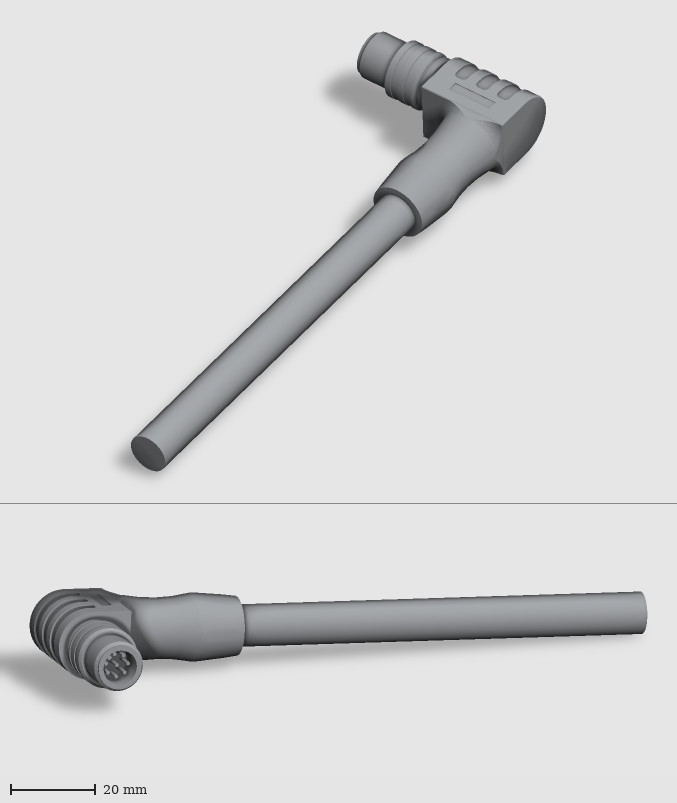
import cadquery as cq
import math

TOTAL_LENGTH = 45.4
CABLE_TILT = 2.5
OVERLAP = 0.5

HEAD_START = 22.0
HEAD_WIDTH = TOTAL_LENGTH - HEAD_START
HEAD_MIDDLE = HEAD_START + HEAD_WIDTH / 2
HEAD_RADIUS = 8.25
HEAD_FRONT = 9.3
HEAD_EDGE_RADIUS = 0.4

GRIP_COUNT = 3
GRIP_PITCH = 6.1
GRIP_WIDTH = 3.4
GRIP_DEPTH = 0.5
GRIP_REACH = 2.0
GRIP_CORNER_RADIUS = 1.2

LABEL_LENGTH = 11.7
LABEL_WIDTH = 2.6
LABEL_DEPTH = 0.2
LABEL_CENTER = 5.1

BOOT_RADIUS = 8.1
BOOT_SIDE_CLEARANCE = 0.05
BOOT_X = TOTAL_LENGTH - BOOT_RADIUS - BOOT_SIDE_CLEARANCE
WAIST_RADIUS = 7.25
BOOT_END_RADIUS = 7.05
FLARE_RADIUS = 3.0
FLARE_INSET = 0.1
FLARE_END = HEAD_FRONT + FLARE_RADIUS
COLLAR_START = 28.8
COLLAR_END = 30.1
BOOT_END = 40.2
TAPER_BULGE = 0.1

CABLE_RADIUS = 5.0
CABLE_LENGTH = 100.0

TIP_RADIUS = 5.3
TIP_LENGTH = 0.6
SLEEVE_RADIUS = 6.0
SLEEVE_START = 1.3
NUT_RADIUS = 7.3
NUT_START = 8.95
NUT_END = 18.0
NUT_CHAMFER = 0.6
NUT_GROOVE_STARTS = (11.25, 14.85)
NUT_GROOVE_WIDTH = 1.8
NUT_GROOVE_DEPTH = 0.2
NECK_RADIUS = 4.7
GAP_RADIUS = 6.6
RIM_START = 18.9
RIM_END = 20.4
RIM_RADIUS = 6.9
RIM_CHAMFER = 0.4
NECK_CONE_RADIUS = 5.6
NECK_CONE_END = 21.1

CAVITY_RADIUS = 4.1
CAVITY_DEPTH = 8.0
KEY_ANGLE = 135.0
KEY_WIDTH = 1.0
KEY_HEIGHT = 1.1
KEY_SETBACK = 0.5
PIN_RADIUS = 0.45
PIN_CIRCLE_RADIUS = 2.75
PIN_PITCH_ANGLE = 49.0
PIN_PAIRS = 3
PIN_SETBACK = 2.5


def cylinder_x(radius, start, end):
    return cq.Workplane("YZ", origin=(start, 0, 0)).circle(radius).extrude(end - start)


def plug_shell():
    profile = [
        (0, 0),
        (0, TIP_RADIUS),
        (TIP_LENGTH, TIP_RADIUS),
        (SLEEVE_START, SLEEVE_RADIUS),
        (NUT_START, SLEEVE_RADIUS),
        (NUT_START, NUT_RADIUS - NUT_CHAMFER),
        (NUT_START + NUT_CHAMFER, NUT_RADIUS),
        (NUT_END - NUT_CHAMFER, NUT_RADIUS),
        (NUT_END, NUT_RADIUS - NUT_CHAMFER),
        (NUT_END, GAP_RADIUS),
        (RIM_START, GAP_RADIUS),
        (RIM_START, RIM_RADIUS),
        (RIM_END - RIM_CHAMFER, RIM_RADIUS),
        (RIM_END, RIM_RADIUS - RIM_CHAMFER),
        (RIM_END, NECK_CONE_RADIUS),
        (NECK_CONE_END, NECK_RADIUS),
        (HEAD_START + OVERLAP, NECK_RADIUS),
        (HEAD_START + OVERLAP, 0),
    ]
    body = cq.Workplane("XY").polyline(profile).close().revolve(360, (0, 0, 0), (1, 0, 0))
    for start in NUT_GROOVE_STARTS:
        end = start + NUT_GROOVE_WIDTH
        core = cylinder_x(NUT_RADIUS - NUT_GROOVE_DEPTH, start, end)
        body = body.cut(cylinder_x(NUT_RADIUS + OVERLAP, start, end).cut(core))
    return body.cut(cylinder_x(CAVITY_RADIUS, 0, CAVITY_DEPTH))


def contact_pin(y, z):
    pin_length = CAVITY_DEPTH + OVERLAP - PIN_SETBACK
    return cq.Workplane("YZ", origin=(PIN_SETBACK, y, z)).circle(PIN_RADIUS).extrude(pin_length)


def contact_pins():
    pins = contact_pin(0, 0)
    for step in range(-PIN_PAIRS, PIN_PAIRS + 1):
        angle = math.radians(KEY_ANGLE + 180 + step * PIN_PITCH_ANGLE)
        y = -PIN_CIRCLE_RADIUS * math.cos(angle)
        z = PIN_CIRCLE_RADIUS * math.sin(angle)
        pins = pins.add(contact_pin(y, z))
    return pins.combine()


def coding_key():
    length = CAVITY_DEPTH + OVERLAP - KEY_SETBACK
    height = KEY_HEIGHT + OVERLAP
    middle = CAVITY_RADIUS - KEY_HEIGHT + height / 2
    key = cq.Workplane("XY").box(length, height, KEY_WIDTH)
    key = key.translate((KEY_SETBACK + length / 2, -middle, 0))
    return key.rotate((0, 0, 0), (1, 0, 0), -KEY_ANGLE)


def head_prism(radius, front, start, width):
    """D-shaped bar along X: flat faces towards -Y and a half-round back around the plug axis."""
    return (
        cq.Workplane("YZ", origin=(start, 0, 0))
        .moveTo(-front, -radius)
        .lineTo(0, -radius)
        .threePointArc((radius, 0), (0, radius))
        .lineTo(-front, radius)
        .close()
        .extrude(width)
    )


def grip_groove(center_x):
    """Shallow band around the head back whose ends have rounded corners."""
    length = GRIP_REACH + 2 * HEAD_RADIUS
    outline = (
        cq.Workplane("XY")
        .box(GRIP_WIDTH, length, 4 * HEAD_RADIUS)
        .edges("|Z")
        .fillet(GRIP_CORNER_RADIUS)
        .translate((center_x, length / 2 - GRIP_REACH, 0))
    )
    core = head_prism(HEAD_RADIUS - GRIP_DEPTH, HEAD_FRONT, HEAD_START, HEAD_WIDTH)
    return outline.cut(core)


def head():
    body = head_prism(HEAD_RADIUS, HEAD_FRONT, HEAD_START, HEAD_WIDTH)
    body = body.faces(">X or <Y").edges("not <X").fillet(HEAD_EDGE_RADIUS)
    for index in range(GRIP_COUNT):
        offset = (index - (GRIP_COUNT - 1) / 2) * GRIP_PITCH
        body = body.cut(grip_groove(HEAD_MIDDLE + offset))
    label = cq.Workplane("XY").box(LABEL_LENGTH, LABEL_WIDTH, 2 * LABEL_DEPTH)
    return body.cut(label.translate((HEAD_MIDDLE, -LABEL_CENTER, HEAD_RADIUS)))


def boot():
    base_radius = BOOT_RADIUS + FLARE_RADIUS
    waist_station = (FLARE_END + COLLAR_START) / 2
    flare_mid = FLARE_RADIUS * (1 - math.cos(math.radians(45)))
    taper_mid = ((BOOT_RADIUS + BOOT_END_RADIUS) / 2 + TAPER_BULGE, -(COLLAR_END + BOOT_END) / 2)
    base_station = HEAD_FRONT - OVERLAP
    body = (
        cq.Workplane("XY")
        .moveTo(0, -base_station)
        .lineTo(base_radius, -base_station)
        .lineTo(base_radius, -HEAD_FRONT)
        .threePointArc((BOOT_RADIUS + flare_mid, -HEAD_FRONT - flare_mid), (BOOT_RADIUS, -FLARE_END))
        .threePointArc((WAIST_RADIUS, -waist_station), (BOOT_RADIUS, -COLLAR_START))
        .lineTo(BOOT_RADIUS, -COLLAR_END)
        .threePointArc(taper_mid, (BOOT_END_RADIUS, -BOOT_END))
        .lineTo(0, -BOOT_END)
        .close()
        .revolve(360, (0, 0, 0), (0, 1, 0))
        .translate((BOOT_X, 0, 0))
    )
    limit = head_prism(HEAD_RADIUS - FLARE_INSET, BOOT_END, HEAD_START, HEAD_WIDTH - FLARE_INSET)
    return body.intersect(limit)


def cable():
    start = BOOT_END - OVERLAP
    plane = cq.Plane(origin=(BOOT_X, -start, 0), xDir=(0, 0, 1), normal=(0, -1, 0))
    return cq.Workplane(plane).circle(CABLE_RADIUS).extrude(CABLE_LENGTH + OVERLAP)


cable_side = head().union(boot()).union(cable())
cable_side = cable_side.rotate((0, 0, 0), (1, 0, 0), CABLE_TILT)
result = plug_shell().union(contact_pins()).union(coding_key()).union(cable_side)